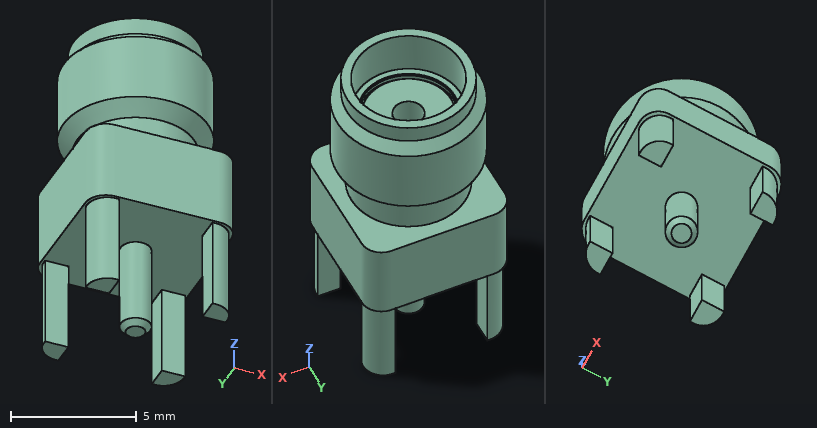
import cadquery as cq

body_width = 6.35
body_height = 3.49
body_corner_radius = 0.89

neck_radius = 2.53
nut_radius = 3.14
rim_radius = 2.7
leg_length = 3.96
total_height = 13.46
top_z = total_height - leg_length
neck_top_z = top_z - 4.74
nut_bottom_z = top_z - 4.15
nut_top_z = top_z - 1.21
rim_bottom_z = top_z - 0.77

bore_radius = 2.3
bore_floor_z = top_z - 1.94
recess_radius = 2.03
recess_step_z = bore_floor_z - 0.08
insulator_radius = 2.0
insulator_chamfer = 0.13
insulator_top_z = bore_floor_z - 0.13
recess_floor_z = insulator_top_z - insulator_chamfer

contact_hole_depth = 1.35
pin_radius = 0.65
pin_chamfer = 0.24

leg_width = 1.02
leg_inset = 0.12
leg_corner_radius = 0.89
leg_center = body_width / 2 - leg_inset - leg_width / 2


def cylinder(radius, bottom_z, top):
    return cq.Workplane("XY").workplane(offset=bottom_z).circle(radius).extrude(top - bottom_z)


def make_body():
    block = cq.Workplane("XY").rect(body_width, body_width).extrude(body_height)
    return block.edges("|Z").fillet(body_corner_radius)


def make_coupling():
    profile = [
        (0, body_height),
        (neck_radius, body_height),
        (neck_radius, neck_top_z),
        (nut_radius, nut_bottom_z),
        (nut_radius, nut_top_z),
        (rim_radius, rim_bottom_z),
        (rim_radius, top_z),
        (0, top_z),
    ]
    return cq.Workplane("XZ").polyline(profile).close().revolve(360, (0, 0), (0, 1))


def make_socket():
    bore = cylinder(bore_radius, bore_floor_z, top_z)
    recess = cylinder(recess_radius, recess_step_z, bore_floor_z)
    lower_recess = cylinder(insulator_radius, recess_floor_z, recess_step_z)
    insulator = cylinder(insulator_radius, recess_floor_z - insulator_chamfer, insulator_top_z)
    insulator = insulator.faces(">Z").chamfer(insulator_chamfer)
    contact_hole = cylinder(pin_radius, insulator_top_z - contact_hole_depth, insulator_top_z)
    return bore.union(recess).union(lower_recess).cut(insulator).union(contact_hole)


def make_pin():
    return cylinder(pin_radius, -leg_length, 0).faces("<Z").chamfer(pin_chamfer)


def make_leg(x_side, y_side):
    """Square post whose outer corner is rounded like the body corner."""
    leg = (
        cq.Workplane("XY")
        .center(x_side * leg_center, y_side * leg_center)
        .rect(leg_width, leg_width)
        .extrude(-leg_length)
    )
    outer_edge = cq.selectors.DirectionMinMaxSelector(cq.Vector(x_side, y_side, 0), True)
    return leg.edges("|Z").edges(outer_edge).fillet(leg_corner_radius)


result = make_body().union(make_coupling()).cut(make_socket()).union(make_pin())
for x_side in (-1, 1):
    for y_side in (-1, 1):
        result = result.union(make_leg(x_side, y_side))